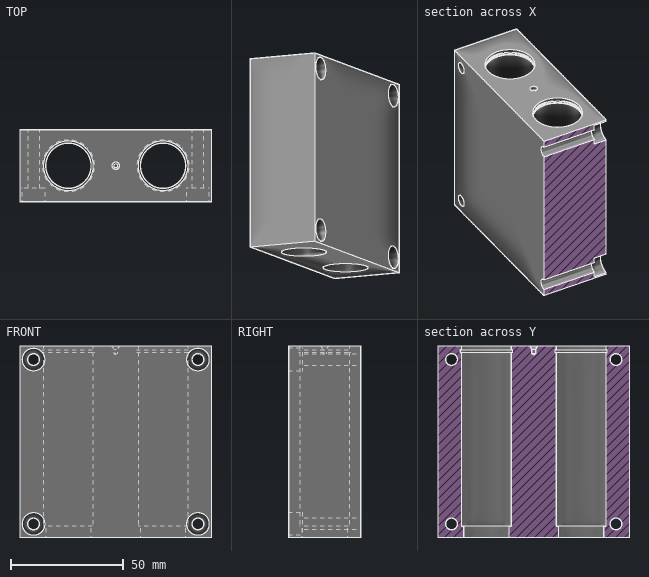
import cadquery as cq
import math

side = 85.0
thickness = 32.0

bore_spacing = 42.0
bore_diameter = 22.0
lip_diameter = 20.0
lip_height = 5.0
groove_diameter = 23.0
groove_width = 1.1
groove_offset = 1.8

screw_inset = 6.0
screw_diameter = 5.1
screw_head_diameter = 10.0
screw_head_depth = 6.0

pilot_diameter = 1.6
pilot_depth = 3.4
countersink_diameter = 3.3
countersink_angle = 60.0
drill_point_angle = 118.0

top = side / 2
bottom = -side / 2


def make_block():
    return cq.Workplane("XY").box(side, thickness, side)


def vertical_cylinder(diameter, low, high):
    return cq.Workplane("XY").workplane(offset=low).circle(diameter / 2).extrude(high - low)


def cut_bores(body):
    groove_top = top - groove_offset
    bore = vertical_cylinder(bore_diameter, bottom + lip_height, top)
    groove = vertical_cylinder(groove_diameter, groove_top - groove_width, groove_top)
    lip_opening = vertical_cylinder(lip_diameter, bottom, top)
    cutter = bore.union(groove).union(lip_opening)
    for x in (-bore_spacing / 2, bore_spacing / 2):
        body = body.cut(cutter.translate((x, 0, 0)))
    return body


def cut_screw_holes(body):
    screw_spacing = side - 2 * screw_inset
    return (
        body.faces("<Y")
        .workplane(origin=(0, 0, 0))
        .rect(screw_spacing, screw_spacing, forConstruction=True)
        .vertices()
        .cboreHole(screw_diameter, screw_head_diameter, screw_head_depth)
    )


def cone_height(radius, included_angle):
    return radius / math.tan(math.radians(included_angle / 2))


def cut_pilot_hole(body):
    radius = pilot_diameter / 2
    mouth_radius = countersink_diameter / 2
    countersink_depth = cone_height(mouth_radius - radius, countersink_angle)
    shoulder = top - pilot_depth
    drill = (
        cq.Workplane("XZ")
        .moveTo(0, top)
        .lineTo(mouth_radius, top)
        .lineTo(radius, top - countersink_depth)
        .lineTo(radius, shoulder)
        .lineTo(0, shoulder - cone_height(radius, drill_point_angle))
        .close()
        .revolve(360, (0, 0, 0), (0, 1, 0))
    )
    return body.cut(drill)


result = cut_pilot_hole(cut_screw_holes(cut_bores(make_block())))